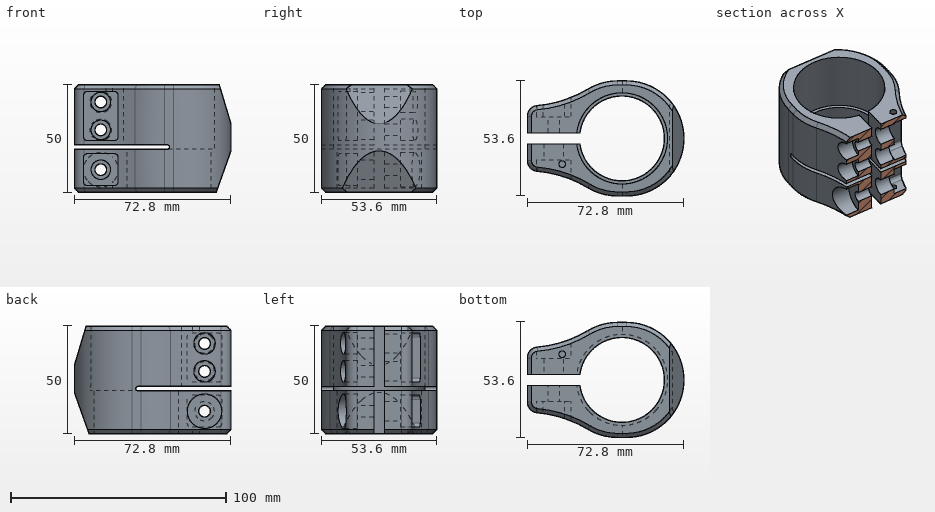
import cadquery as cq
import math

HEIGHT = 50.0
OUTER_RADIUS = 26.8
CENTRE_OFFSET = 2.05
RIGHT_X = CENTRE_OFFSET + OUTER_RADIUS
LEFT_X = RIGHT_X - 72.8
NECK_ANGLE = math.radians(31.1)
NECK_RADIUS = 54.6
CORNER_RADIUS = 5.0
EDGE_CHAMFER = 2.0

TOP_SLOPE_X = 23.4
TOP_SLOPE_Z = 31.8
BOTTOM_SLOPE_X = 22.0
BOTTOM_SLOPE_Z = 19.2

UPPER_BORE_DIAMETER = 42.4
LOWER_BORE_DIAMETER = 39.3
BORE_STEP_Z = 20.0
CLAMP_GAP = 4.95
SLOT_HEIGHT = 2.0
SLOT_END_X = 0.2

POCKET_LEFT_X = -39.75
POCKET_RIGHT_X = -23.6
POCKET_FLOOR_Y = -10.0
POCKET_CORNER_RADIUS = 2.0
LOWER_POCKET_Z = (3.05, 18.0)
UPPER_POCKET_Z = (23.95, 46.9)
SCREW_X = (POCKET_LEFT_X + POCKET_RIGHT_X) / 2
UPPER_SCREW_HEIGHTS = (29.0, 41.9)
LOWER_SCREW_HEIGHT = 10.5
SCREW_DIAMETER = 5.3
WIDE_HOLE_DIAMETER = 9.0
UPPER_SEAT_DIAMETER = 10.0
LOWER_SEAT_DIAMETER = 16.0
SEAT_FLOOR_Y = -POCKET_FLOOR_Y

PIN_DIAMETER = 3.1
PIN_X = -27.75
PIN_Y = -11.95


def box(x_range, y_range, z_range):
    """Axis-aligned block spanning the given ranges."""
    size = [high - low for low, high in (x_range, y_range, z_range)]
    corner = (x_range[0], y_range[0], z_range[0])
    return cq.Workplane("XY").box(*size, centered=False).translate(corner)


def cylinder_y(x, z, diameter, y_start, y_end):
    """Cylinder parallel to Y."""
    start = cq.Vector(x, y_start, z)
    return cq.Workplane(cq.Solid.makeCylinder(diameter / 2, y_end - y_start, start, cq.Vector(0, 1, 0)))


def cylinder_z(x, y, diameter, z_start, z_end):
    """Cylinder parallel to Z."""
    start = cq.Vector(x, y, z_start)
    return cq.Workplane(cq.Solid.makeCylinder(diameter / 2, z_end - z_start, start))


def polar(centre, radius, angle):
    """Point on a circle; the angle runs from +Y towards -X."""
    return (centre[0] - radius * math.sin(angle), centre[1] + radius * math.cos(angle))


def make_body():
    """Ring that narrows into the clamp legs through tangent arcs."""
    ring_centre = (-CENTRE_OFFSET, 0)
    neck_centre = polar(ring_centre, OUTER_RADIUS + NECK_RADIUS, NECK_ANGLE)
    corner_x = LEFT_X + CORNER_RADIUS
    neck_end_angle = math.asin((corner_x - neck_centre[0]) / (NECK_RADIUS + CORNER_RADIUS))
    corner_y = neck_centre[1] - (NECK_RADIUS + CORNER_RADIUS) * math.cos(neck_end_angle)
    corner_centre = (corner_x, corner_y)

    ring_mid = polar(ring_centre, OUTER_RADIUS, NECK_ANGLE / 2)
    neck_start = polar(ring_centre, OUTER_RADIUS, NECK_ANGLE)
    neck_mid = polar(neck_centre, -NECK_RADIUS, (NECK_ANGLE + neck_end_angle) / 2)
    neck_end = polar(corner_centre, CORNER_RADIUS, neck_end_angle)
    corner_mid = polar(corner_centre, CORNER_RADIUS, (neck_end_angle + math.pi / 2) / 2)
    corner_end = (LEFT_X, corner_y)

    def mirrored(point):
        return (point[0], -point[1])

    outline = (
        cq.Workplane("XY")
        .moveTo(CENTRE_OFFSET, OUTER_RADIUS)
        .lineTo(-CENTRE_OFFSET, OUTER_RADIUS)
        .threePointArc(ring_mid, neck_start)
        .threePointArc(neck_mid, neck_end)
        .threePointArc(corner_mid, corner_end)
        .lineTo(*mirrored(corner_end))
        .threePointArc(mirrored(corner_mid), mirrored(neck_end))
        .threePointArc(mirrored(neck_mid), mirrored(neck_start))
        .threePointArc(mirrored(ring_mid), (-CENTRE_OFFSET, -OUTER_RADIUS))
        .lineTo(CENTRE_OFFSET, -OUTER_RADIUS)
        .threePointArc((RIGHT_X, 0), (CENTRE_OFFSET, OUTER_RADIUS))
        .close()
    )
    return outline.extrude(HEIGHT).faces("<Z or >Z").edges().chamfer(EDGE_CHAMFER)


def slope_cut(top_or_bottom_z, inner_x, outer_z):
    """Wedge removed from the closed side across the full width."""
    return (
        cq.Workplane("XZ")
        .polyline([(inner_x, top_or_bottom_z), (RIGHT_X, outer_z), (RIGHT_X, top_or_bottom_z)])
        .close()
        .extrude(OUTER_RADIUS, both=True)
    )


def stepped_bore():
    lower = cylinder_z(0, 0, LOWER_BORE_DIAMETER, 0, BORE_STEP_Z)
    upper = cylinder_z(0, 0, UPPER_BORE_DIAMETER, BORE_STEP_Z, HEIGHT)
    return lower.union(upper)


def clamp_gap():
    half_gap = CLAMP_GAP / 2
    return box((LEFT_X, 0), (-half_gap, half_gap), (0, HEIGHT))


def cross_slot():
    """Horizontal slot with a round end that separates the two clamps."""
    width = (-OUTER_RADIUS, OUTER_RADIUS)
    end_centre_x = SLOT_END_X - SLOT_HEIGHT / 2
    straight = box((LEFT_X, end_centre_x), width, (BORE_STEP_Z, BORE_STEP_Z + SLOT_HEIGHT))
    return straight.union(cylinder_y(end_centre_x, BORE_STEP_Z + SLOT_HEIGHT / 2, SLOT_HEIGHT, *width))


def pocket(z_range):
    block = box((POCKET_LEFT_X, POCKET_RIGHT_X), (-OUTER_RADIUS, POCKET_FLOOR_Y), z_range)
    return block.edges("|Y").fillet(POCKET_CORNER_RADIUS)


def screw_hole(z, seat_diameter):
    """Wide hole in the -Y leg, screw hole in the +Y leg and a round seat outside it."""
    wide = cylinder_y(SCREW_X, z, WIDE_HOLE_DIAMETER, POCKET_FLOOR_Y, 0)
    screw = cylinder_y(SCREW_X, z, SCREW_DIAMETER, 0, SEAT_FLOOR_Y)
    seat = cylinder_y(SCREW_X, z, seat_diameter, SEAT_FLOOR_Y, OUTER_RADIUS)
    return wide.union(screw).union(seat)


result = make_body()
result = result.cut(slope_cut(HEIGHT, TOP_SLOPE_X, TOP_SLOPE_Z))
result = result.cut(slope_cut(0, BOTTOM_SLOPE_X, BOTTOM_SLOPE_Z))
result = result.cut(stepped_bore()).cut(clamp_gap()).cut(cross_slot())

for pocket_z in (LOWER_POCKET_Z, UPPER_POCKET_Z):
    result = result.cut(pocket(pocket_z))

for screw_z in UPPER_SCREW_HEIGHTS:
    result = result.cut(screw_hole(screw_z, UPPER_SEAT_DIAMETER))
result = result.cut(screw_hole(LOWER_SCREW_HEIGHT, LOWER_SEAT_DIAMETER))

result = result.cut(cylinder_z(PIN_X, PIN_Y, PIN_DIAMETER, 0, LOWER_POCKET_Z[0]))
result = result.cut(cylinder_z(PIN_X, PIN_Y, PIN_DIAMETER, UPPER_POCKET_Z[1], HEIGHT))